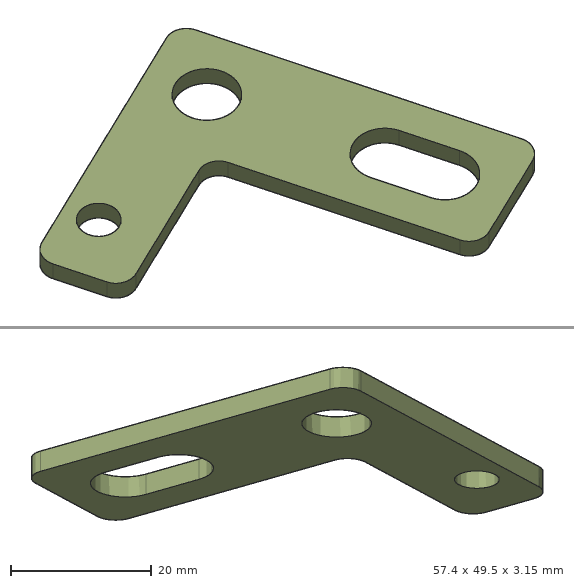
import cadquery as cq

length = 57.4
height = 49.55
thickness = 3.15

arm_width = 21.4
leg_width = 14.75
corner_radius = 3.15

opening_width = 9.95
arm_center_y = height - arm_width / 2
large_hole_x = 9.75
slot_length = 19.35
slot_x = 42.35
small_hole_diameter = 6.4
small_hole_x = 5.6
small_hole_y = 10.45


def plate():
    """L-shaped plate with all upright edges rounded, including the inner corner."""
    outline = [
        (0, 0),
        (leg_width, 0),
        (leg_width, height - arm_width),
        (length, height - arm_width),
        (length, height),
        (0, height),
    ]
    blank = cq.Workplane("XY").polyline(outline).close().extrude(thickness)
    return blank.edges("|Z").fillet(corner_radius)


def round_hole(x, y, diameter):
    """Cutter for a round through hole."""
    return cq.Workplane("XY").center(x, y).circle(diameter / 2).extrude(thickness)


def slot():
    """Cutter for the round-ended through slot along the arm."""
    return (
        cq.Workplane("XY")
        .center(slot_x, arm_center_y)
        .slot2D(slot_length, opening_width)
        .extrude(thickness)
    )


result = (
    plate()
    .cut(round_hole(large_hole_x, arm_center_y, opening_width))
    .cut(round_hole(small_hole_x, small_hole_y, small_hole_diameter))
    .cut(slot())
)